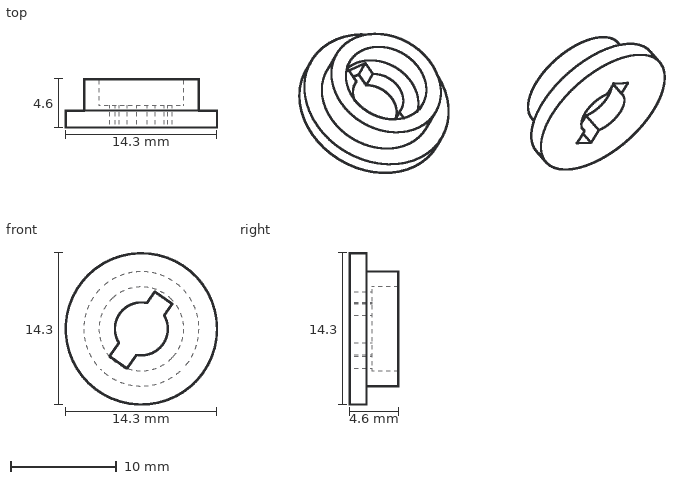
import cadquery as cq

flange_diameter = 14.35
flange_thickness = 1.61
hub_diameter = 10.88
total_length = 4.6

hole_diameter = 5.0
upper_keyway_reach = 3.6
lower_keyway_reach = 3.85
slot_width = 2.0
slot_side_shift = -0.03
slot_angle = 55.0
opening_depth = 2.11
bore_diameter = 8.0


def cylinder(diameter, start, end):
    """Solid cylinder along +Y between two positions on the axis."""
    plane = cq.Workplane("XZ", origin=(0, start, 0))
    return plane.circle(diameter / 2).extrude(start - end)


def keyed_opening():
    """Round hole with two opposite rectangular keyways."""
    slot_length = upper_keyway_reach + lower_keyway_reach
    slot_center = (upper_keyway_reach - lower_keyway_reach) / 2
    slot = (
        cq.Workplane("XZ")
        .transformed(rotate=(0, 0, slot_angle))
        .center(slot_center, slot_side_shift)
        .rect(slot_length, slot_width)
        .extrude(-opening_depth)
    )
    return cylinder(hole_diameter, 0, opening_depth).union(slot)


flange = cylinder(flange_diameter, 0, flange_thickness)
hub = cylinder(hub_diameter, flange_thickness, total_length)
bore = cylinder(bore_diameter, opening_depth, total_length)

result = flange.union(hub).cut(bore).cut(keyed_opening())